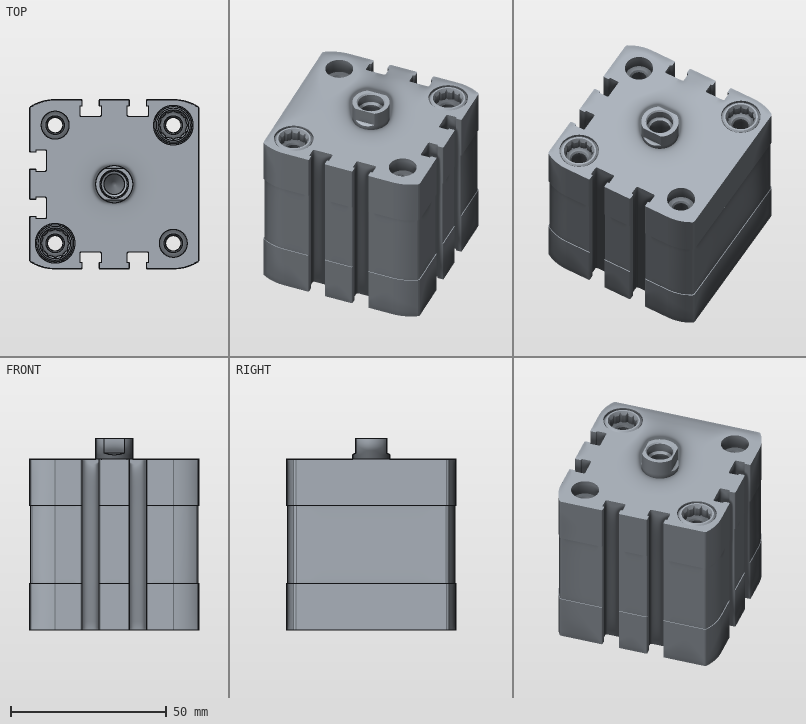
import cadquery as cq
import math

width = 54.5
total_height = 61.7
rod_rise = 6.65
housing_height = total_height - rod_rise

cap_height = 15.0
barrel_height = housing_height - 2 * cap_height
barrel_inset = 0.25
corner_center = 19.0
corner_radius = 15.0
corner_edge_radius = 1.0

slot_offset = 7.6
mouth_width = 5.5
pocket_width = 6.85
slot_depth = 5.4
lip_depth = 2.1
lip_edge_radius = 0.3
floor_corner_radius = 0.5

hole_offset = 19.0
through_diameter = 4.95
mouth_diameter = 6.0
counterbore_diameter = 9.0
counterbore_depth = 5.0

recess_diameter = 12.8
recess_depth = 1.0
head_diameter = 11.9
head_chamfer = 0.5
socket_diameter = 8.5
socket_rim_diameter = 9.9
socket_lead_depth = 1.35
socket_depth = 4.2
star_diameter = 9.5
star_squares = 3

rod_diameter = 12.0
rod_length = rod_rise + cap_height
flat_spacing = 10.0
flat_height = 4.7
flat_ledge_drop = 0.6
rod_bore_diameter = 8.4
rod_bore_depth = 3.4
rod_bore_chamfer = 0.4
core_diameter = 6.65
core_depth = 14.8
drill_angle = 59.0


def frustum(bottom_diameter, top_diameter, bottom_z, top_z):
    """Cone or truncated cone on the Z axis."""
    base = cq.Vector(0, 0, bottom_z)
    return cq.Workplane(cq.Solid.makeCone(bottom_diameter / 2, top_diameter / 2, top_z - bottom_z, base))


def cylinder(diameter, bottom_z, top_z):
    """Cylinder on the Z axis."""
    return cq.Workplane(cq.Solid.makeCylinder(diameter / 2, top_z - bottom_z, cq.Vector(0, 0, bottom_z)))


def housing_block(half_width, arc_radius, height):
    """Square block whose vertical corners are large arcs tangent to the two Y faces."""
    arc_center_y = half_width - arc_radius
    arc_drop_x = half_width - corner_center
    side_y = arc_center_y + math.sqrt(arc_radius**2 - arc_drop_x**2)
    mid_angle = math.acos(arc_drop_x / arc_radius) / 2 + math.pi / 4
    mid_x = corner_center + arc_radius * math.cos(mid_angle)
    mid_y = arc_center_y + arc_radius * math.sin(mid_angle)
    return (
        cq.Workplane("XY")
        .moveTo(-corner_center, half_width)
        .lineTo(corner_center, half_width)
        .threePointArc((mid_x, mid_y), (half_width, side_y))
        .lineTo(half_width, -side_y)
        .threePointArc((mid_x, -mid_y), (corner_center, -half_width))
        .lineTo(-corner_center, -half_width)
        .threePointArc((-mid_x, -mid_y), (-half_width, -side_y))
        .lineTo(-half_width, side_y)
        .threePointArc((-mid_x, mid_y), (-corner_center, half_width))
        .close()
        .extrude(height)
        .edges("|Z and (<X or >X)")
        .fillet(corner_edge_radius)
    )


def slot_mouth(face, height):
    """Neck of a T-slot, flared by round edges at the face y = -face and at the inside of the lips."""
    half_mouth = mouth_width / 2
    half_flare = half_mouth + lip_edge_radius
    arc_inset = lip_edge_radius * (1 - math.sqrt(0.5))
    arc_x = half_mouth + arc_inset
    outer_y = -face
    inner_y = -width / 2 + lip_depth
    return (
        cq.Workplane("XY")
        .moveTo(-half_flare, outer_y)
        .lineTo(half_flare, outer_y)
        .threePointArc((arc_x, outer_y + arc_inset), (half_mouth, outer_y + lip_edge_radius))
        .lineTo(half_mouth, inner_y - lip_edge_radius)
        .threePointArc((arc_x, inner_y - arc_inset), (half_flare, inner_y))
        .lineTo(-half_flare, inner_y)
        .threePointArc((-arc_x, inner_y - arc_inset), (-half_mouth, inner_y - lip_edge_radius))
        .lineTo(-half_mouth, outer_y + lip_edge_radius)
        .threePointArc((-arc_x, outer_y + arc_inset), (-half_flare, outer_y))
        .close()
        .extrude(height)
    )


def slot_pocket(height):
    """Wide inner part of a T-slot, with rounded floor corners."""
    pocket_depth = slot_depth - lip_depth
    return (
        cq.Workplane("XY")
        .center(0, -width / 2 + lip_depth + pocket_depth / 2)
        .rect(pocket_width, pocket_depth)
        .extrude(height)
        .edges("|Z and >Y")
        .fillet(floor_corner_radius)
    )


def housing_section(inset, height):
    """One slotted length of the housing, inset all round from the full width."""
    half_width = width / 2 - inset
    section = housing_block(half_width, corner_radius - inset, height)
    cutter = slot_mouth(half_width, height).union(slot_pocket(height))
    for face_angle in (0, 180, 270):
        for side in (-slot_offset, slot_offset):
            slot = cutter.translate((side, 0, 0)).rotate((0, 0, 0), (0, 0, 1), face_angle)
            section = section.cut(slot)
    return section


def through_hole(seat_z):
    """Through hole with a countersunk mouth at the given seat height."""
    countersink_depth = (mouth_diameter - through_diameter) / 2
    bore = cylinder(through_diameter, 0, seat_z)
    return bore.union(frustum(through_diameter, mouth_diameter, seat_z - countersink_depth, seat_z))


def counterbored_hole():
    """Cutter for a plain corner hole."""
    seat_z = housing_height - counterbore_depth
    return through_hole(seat_z).union(cylinder(counterbore_diameter, seat_z, housing_height))


def ring_groove():
    """Groove between a socket head and its recess, widened by the chamfer on the head."""
    groove_bottom = housing_height - recess_depth
    chamfered_top = head_diameter - 2 * head_chamfer
    head = cylinder(head_diameter, groove_bottom, housing_height - head_chamfer)
    head = head.union(frustum(head_diameter, chamfered_top, housing_height - head_chamfer, housing_height))
    return cylinder(recess_diameter, groove_bottom, housing_height).cut(head)


def star_socket():
    """Twelve-pointed drive socket: three turned squares around a round core, with a conical lead-in."""
    seat_z = housing_height - socket_depth
    square_side = star_diameter * math.sqrt(0.5)
    socket = cylinder(socket_diameter, seat_z, housing_height)
    for index in range(star_squares):
        square = cq.Workplane("XY", origin=(0, 0, seat_z))
        square = square.rect(square_side, square_side).extrude(socket_depth)
        turn = 45 + index * 90 / star_squares
        socket = socket.union(square.rotate((0, 0, 0), (0, 0, 1), turn))
    lead_bottom = housing_height - socket_lead_depth
    lead_in = frustum(socket_diameter, socket_rim_diameter, lead_bottom, housing_height)
    return socket.union(lead_in).union(through_hole(seat_z))


def make_housing():
    """Slotted housing with corner holes, socket heads and a seat for the rod."""
    barrel_z = cap_height
    top_cap_z = cap_height + barrel_height
    body = housing_section(0, cap_height)
    body = body.union(housing_section(barrel_inset, barrel_height).translate((0, 0, barrel_z)))
    body = body.union(housing_section(0, cap_height).translate((0, 0, top_cap_z)))
    plain_hole = counterbored_hole()
    groove = ring_groove()
    socket = star_socket()
    for side in (-hole_offset, hole_offset):
        body = body.cut(plain_hole.translate((side, -side, 0)))
        body = body.cut(groove.translate((side, side, 0)))
        body = body.cut(socket.translate((side, side, 0)))
    return body.cut(cylinder(rod_diameter, total_height - rod_length, housing_height))


def rod_hole():
    """Countersunk bore, conical step, core hole and drill point in the rod end."""
    rim_diameter = rod_bore_diameter + 2 * rod_bore_chamfer
    bore_bottom = total_height - rod_bore_depth
    step_depth = (rod_bore_diameter - core_diameter) / 2 / math.tan(math.radians(drill_angle))
    core_bottom = total_height - core_depth
    tip_depth = core_diameter / 2 / math.tan(math.radians(drill_angle))
    hole = cylinder(rod_bore_diameter, bore_bottom, total_height)
    hole = hole.union(frustum(rod_bore_diameter, rim_diameter, total_height - rod_bore_chamfer, total_height))
    hole = hole.union(frustum(core_diameter, rod_bore_diameter, bore_bottom - step_depth, bore_bottom))
    hole = hole.union(cylinder(core_diameter, core_bottom, bore_bottom))
    return hole.union(frustum(0, core_diameter, core_bottom - tip_depth, core_bottom))


def flat_cutter():
    """Wrench flat on the -Y side, ending in a ledge that slopes down towards the outside."""
    flat_y = -flat_spacing / 2
    outer_y = -rod_diameter / 2
    flat_bottom = total_height - flat_height
    return (
        cq.Workplane("YZ")
        .moveTo(flat_y, total_height)
        .lineTo(flat_y, flat_bottom)
        .lineTo(outer_y, flat_bottom - flat_ledge_drop)
        .lineTo(outer_y, total_height)
        .close()
        .extrude(rod_diameter / 2, both=True)
    )


def make_rod():
    """Rod end with an axial hole and two wrench flats."""
    rod = cylinder(rod_diameter, total_height - rod_length, total_height).cut(rod_hole())
    flat = flat_cutter()
    return rod.cut(flat).cut(flat.mirror("XZ"))


housing = make_housing()
rod = make_rod()

result = cq.Compound.makeCompound([housing.val(), rod.val()])